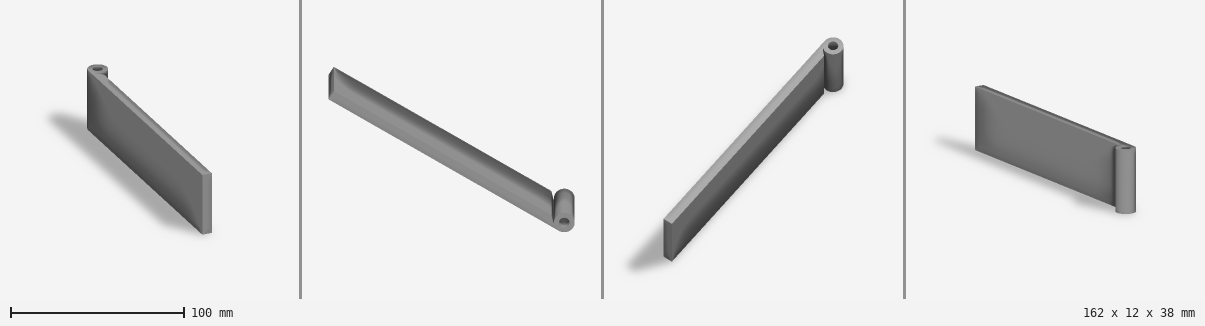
import cadquery as cq

length = 162.0
height = 38.0
barrel_diameter = 12.0
pin_diameter = 6.0
leaf_thickness = 6.0
notch_start = 11.0
notch_end = 14.7

barrel_radius = barrel_diameter / 2
front_y = -barrel_radius
back_y = front_y + leaf_thickness
end_x = length - barrel_radius
notch_depth = notch_end - notch_start


def make_barrel():
    return cq.Workplane("XY").circle(barrel_radius).extrude(height)


def make_leaf():
    """Flat leaf whose back edge slopes down to the barrel at 45 degrees."""
    return (
        cq.Workplane("XY")
        .moveTo(0, front_y)
        .lineTo(end_x, front_y)
        .lineTo(end_x, back_y)
        .lineTo(notch_end - barrel_radius, back_y)
        .lineTo(notch_start - barrel_radius, back_y - notch_depth)
        .lineTo(0, back_y - notch_depth)
        .close()
        .extrude(height)
    )


pin_hole = cq.Workplane("XY").circle(pin_diameter / 2).extrude(height)

result = make_barrel().union(make_leaf()).cut(pin_hole)